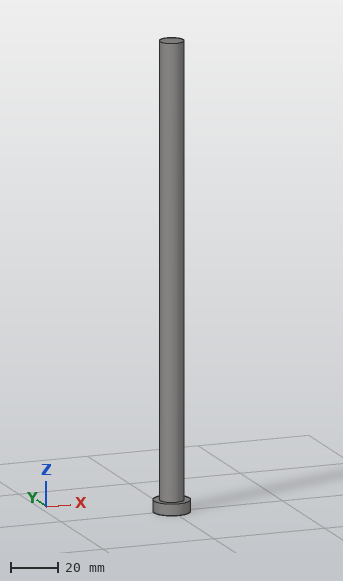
import cadquery as cq

total_length = 205.0
head_diameter = 16.0
head_height = 5.1
shank_diameter = 10.5

shank_length = total_length - head_height

head = (
    cq.Workplane("XY")
    .workplane(offset=-total_length / 2)
    .circle(head_diameter / 2)
    .extrude(head_height)
)

result = (
    head.faces(">Z")
    .workplane()
    .circle(shank_diameter / 2)
    .extrude(shank_length)
)